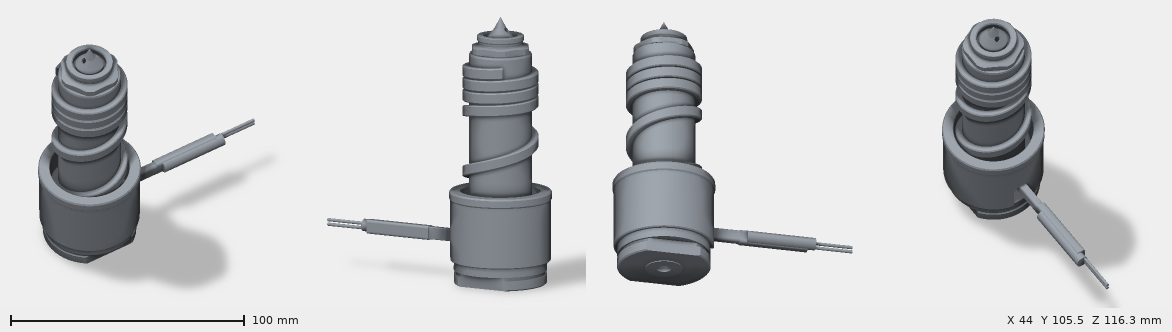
import cadquery as cq
import math

base_boss_top = 0.3
flange_top = 4.7
groove_top = 6.3
plug_top = 10.2
barrel_top = 100.6
hex_bottom = 101.0
hex_top = 104.3
neck_top = 105.7
rim_bottom = 106.3
rim_top = 108.4
nozzle_base = 107.2
recess_floor = 105.3
neck_flare_top = 104.7
tip_base = 111.5
overall_height = 116.3

base_boss_radius = 8.0
plug_radius = 20.0
groove_radius = 19.1
plug_flat_offset = 16.0
flange_chamfer = 0.6
barrel_radius = 13.5
barrel_chamfer_width = 0.3
barrel_chamfer_height = 0.8
undercut_radius = 11.4
neck_radius = 9.7
neck_flare_radius = 10.0
rim_radius = 10.0
rim_chamfer = 0.2
recess_radius = 7.2
recess_chamfer = 0.5
nozzle_radius = 6.0
tip_radius = 2.5

hex_across_flats = 24.1
hex_sides = 6
hex_corner_radius = 13.0
hex_cone_height = 0.9

bore_radius = 3.0
bore_top = 109.7
outlet_diameter = 2.6
outlet_apex = 107.7
outlet_tilt = 45.0

cup_top = 40.7
cup_radius = 21.5
collar_radius = 22.0
collar_bottom = 37.2
collar_taper = 0.6
collar_chamfer_height = 0.7
cup_bottom_chamfer = 0.5
cup_bore_radius = 17.1
cup_bore_chamfer = 0.3
slot_width = 8.1

coil_outer_radius = 16.3
coil_overlap = 0.3
coil_height = 4.8
coil_chamfer = 0.5
coil_top_height = 94.3
coil_top_angle = 212.0
tight_pitch = 5.3
steep_pitch = 26.7
tight_sweep = 1095.0
blend_sweep = 120.0
coil_sweep = 1922.0
coil_step = 15.0

cable_height = 19.3
wire_end = 83.5
wire_diameter = 1.4
wire_spacing = 2.0
wire_offset = -1.4
tube_diameter = 5.3
tube_offset = 0.1
tube_start = 36.5
tube_end = 66.6
sleeve_width = 4.1
sleeve_thickness = 6.0
sleeve_fillet = 1.0
sleeve_start = 33.5
sleeve_end = 63.6
lead_left = -2.6
lead_right = 0.8
lead_thickness = 5.3
lead_fillet = 0.3
lead_start = 14.5


def revolve_outline(points):
    """Turn an outline of (radius, height) points around the Z axis."""
    return cq.Workplane("XZ").polyline(points).close().revolve(360, (0, 0), (0, 1))


def along_y(start, length, x=0.0, z=cable_height):
    """Upright sketch plane at the start, and the signed length that extrudes it toward +Y."""
    plane = cq.Workplane("XZ", origin=(x, start, z))
    return plane, -length


def make_plug():
    """Round base with a groove, a bottom boss and two flats."""
    plug = revolve_outline([
        (0, 0),
        (base_boss_radius, 0),
        (base_boss_radius, base_boss_top),
        (plug_radius - flange_chamfer, base_boss_top),
        (plug_radius, base_boss_top + flange_chamfer),
        (plug_radius, flange_top),
        (groove_radius, flange_top),
        (groove_radius, groove_top),
        (0, groove_top),
    ])
    flats = cq.Workplane("XY").rect(2 * plug_flat_offset, 3 * plug_radius).extrude(groove_top)
    upper_height = plug_top - groove_top
    upper = cq.Workplane("XY", origin=(0, 0, groove_top)).circle(plug_radius).extrude(upper_height)
    return plug.intersect(flats).union(upper)


def make_barrel():
    """Barrel, neck, recessed rim and pointed nozzle."""
    return revolve_outline([
        (0, groove_top),
        (barrel_radius, groove_top),
        (barrel_radius, barrel_top - barrel_chamfer_height),
        (barrel_radius - barrel_chamfer_width, barrel_top),
        (undercut_radius, barrel_top),
        (undercut_radius, hex_bottom),
        (neck_radius, hex_bottom),
        (neck_radius, hex_top),
        (neck_flare_radius, hex_top),
        (neck_radius, neck_flare_top),
        (neck_radius, neck_top),
        (rim_radius, rim_bottom),
        (rim_radius, rim_top - rim_chamfer),
        (rim_radius - rim_chamfer, rim_top),
        (recess_radius + recess_chamfer, rim_top),
        (recess_radius, rim_top - recess_chamfer),
        (recess_radius, recess_floor),
        (nozzle_radius, recess_floor),
        (nozzle_radius, nozzle_base),
        (tip_radius, tip_base),
        (0, overall_height),
    ])


def make_hexagon():
    """Hexagon with corners on Y, rounded to a circle and coned on top."""
    hexagon = (
        cq.Workplane("XY", origin=(0, 0, hex_bottom))
        .polygon(hex_sides, hex_across_flats / math.cos(math.pi / hex_sides))
        .extrude(hex_top - hex_bottom)
        .rotate((0, 0, 0), (0, 0, 1), 180 / hex_sides)
    )
    turned = revolve_outline([
        (0, hex_bottom),
        (hex_corner_radius, hex_bottom),
        (hex_corner_radius, hex_top - hex_cone_height),
        (neck_flare_radius, hex_top),
        (0, hex_top),
    ])
    return hexagon.intersect(turned)


def make_cup():
    """Collared sleeve with a round-topped cable slot open at the bottom on +Y."""
    cup = revolve_outline([
        (cup_bore_radius, plug_top),
        (cup_radius - cup_bottom_chamfer, plug_top),
        (cup_radius, plug_top + cup_bottom_chamfer),
        (cup_radius, collar_bottom - collar_taper),
        (collar_radius, collar_bottom),
        (collar_radius, cup_top - collar_chamfer_height),
        (cup_radius, cup_top),
        (cup_bore_radius + cup_bore_chamfer, cup_top),
        (cup_bore_radius, cup_top - cup_bore_chamfer),
    ])
    plane, depth = along_y(0, 2 * cup_radius)
    slot = plane.circle(slot_width / 2).extrude(depth)
    slot_drop = cable_height - plug_top
    plane, depth = along_y(0, 2 * cup_radius, z=plug_top + slot_drop / 2)
    slot = slot.union(plane.rect(slot_width, slot_drop).extrude(depth))
    return cup.cut(slot)


def coil_drop(turned):
    """Fall of the coil centre after turning the given degrees down from its top end."""
    blend = min(max(turned - tight_sweep, 0), blend_sweep)
    steep = max(turned - tight_sweep - blend_sweep, 0)
    added_pitch = steep_pitch - tight_pitch
    added = added_pitch * (blend ** 2 / (2 * blend_sweep) + steep)
    return (tight_pitch * turned + added) / 360


def coil_edge(radius, offset):
    """Smooth curve followed by one corner of the coil's section."""
    count = math.ceil(coil_sweep / coil_step)
    points = []
    for i in range(count + 1):
        turned = coil_sweep * i / count
        angle = math.radians(coil_top_angle - turned)
        height = coil_top_height - coil_drop(turned) + offset
        points.append(cq.Vector(radius * math.cos(angle), radius * math.sin(angle), height))
    return cq.Edge.makeSpline(points)


def make_coil():
    """Flat strip wound on the barrel: close turns, a smooth blend, then steep turns."""
    half = coil_height / 2
    inner = barrel_radius - coil_overlap
    shoulder = coil_outer_radius - coil_chamfer
    section = [
        (inner, -half),
        (shoulder, -half),
        (coil_outer_radius, coil_chamfer - half),
        (coil_outer_radius, half - coil_chamfer),
        (shoulder, half),
        (inner, half),
    ]
    edges = [coil_edge(radius, offset) for radius, offset in section]
    faces = []
    for i, edge in enumerate(edges):
        faces.append(cq.Face.makeRuledSurface(edges[i - 1], edge))
    for end in (0, 1):
        corners = [edge.positionAt(end) for edge in edges]
        faces.append(cq.Face.makeFromWires(cq.Wire.makePolygon(corners, close=True)))
    return cq.Workplane(cq.Solid.makeSolid(cq.Shell.makeShell(faces)))


def make_cable():
    """Lead from the coil, flat sleeve, round tube and two bare wires."""
    lead_width = lead_right - lead_left
    plane, length = along_y(lead_start, sleeve_start - lead_start, x=(lead_left + lead_right) / 2)
    lead = plane.rect(lead_width, lead_thickness).extrude(length)
    lead = lead.edges("|Y and <X").fillet(lead_fillet).edges("|Y and >X").fillet(sleeve_fillet)

    plane, length = along_y(sleeve_start, sleeve_end - sleeve_start, x=wire_offset)
    sleeve = plane.rect(sleeve_width, sleeve_thickness).extrude(length).edges("|Y").fillet(sleeve_fillet)

    plane, length = along_y(tube_start, tube_end - tube_start, x=tube_offset)
    tube = plane.circle(tube_diameter / 2).extrude(length)

    plane, length = along_y(tube_start, wire_end - tube_start, x=wire_offset)
    wires = plane.rarray(1.2, wire_spacing, 1, 2).circle(wire_diameter / 2).extrude(length)
    return lead.union(sleeve).union(tube).union(wires)


bore = cq.Workplane("XY").circle(bore_radius).extrude(bore_top)
outlet = cq.Workplane("XY").circle(outlet_diameter / 2).extrude(2 * nozzle_radius)
body = make_plug().union(make_barrel()).union(make_hexagon()).cut(bore)
for tilt in (outlet_tilt, -outlet_tilt):
    body = body.cut(outlet.rotate((0, 0, 0), (1, 0, 0), tilt).translate((0, 0, outlet_apex)))

result = body.union(make_coil()).union(make_cup()).union(make_cable())